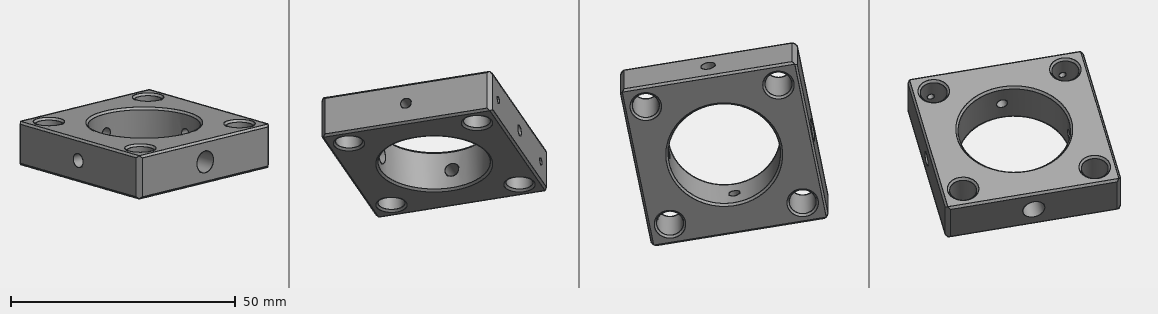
import cadquery as cq

side = 40.0
thickness = 10.0
corner_chamfer = 1.0
edge_chamfer = corner_chamfer / 2

bore_diameter = 25.0
corner_hole_diameter = 6.0
corner_hole_spacing = 30.0

cross_hole_diameter = 2.5
front_hole_diameter = 3.2
wide_hole_diameter = 5.0
lock_hole_diameter = 1.6

half_side = side / 2
corner_offset = corner_hole_spacing / 2


def chamfered_hole(diameter, x, y):
    """Vertical through hole with both rims chamfered."""
    radius = diameter / 2
    half_height = thickness / 2
    rim_radius = radius + edge_chamfer
    straight_half = half_height - edge_chamfer
    profile = (
        cq.Workplane("XZ")
        .moveTo(0, -half_height)
        .lineTo(rim_radius, -half_height)
        .lineTo(radius, -straight_half)
        .lineTo(radius, straight_half)
        .lineTo(rim_radius, half_height)
        .lineTo(0, half_height)
        .close()
    )
    return profile.revolve(360, (0, 0, 0), (0, 1, 0)).translate((x, y, 0))


def drill(diameter, start, direction, depth):
    """Round cutter from a start point along a direction."""
    solid = cq.Solid.makeCylinder(diameter / 2, depth, cq.Vector(*start), cq.Vector(*direction))
    return cq.Workplane(obj=solid)


plate = cq.Workplane("XY").box(side, side, thickness)
plate = plate.faces("<Z or >Z").edges().chamfer(edge_chamfer)
bevelled_prism = cq.Workplane("XY").box(side, side, thickness).edges("|Z").chamfer(corner_chamfer)
plate = plate.intersect(bevelled_prism)

plate = plate.cut(chamfered_hole(bore_diameter, 0, 0))
for x in (-corner_offset, corner_offset):
    for y in (-corner_offset, corner_offset):
        plate = plate.cut(chamfered_hole(corner_hole_diameter, x, y))

wall_holes = (
    (cross_hole_diameter, (-1, 0, 0)),
    (wide_hole_diameter, (1, 0, 0)),
    (front_hole_diameter, (0, -1, 0)),
    (cross_hole_diameter, (0, 1, 0)),
)
for diameter, direction in wall_holes:
    plate = plate.cut(drill(diameter, (0, 0, 0), direction, half_side))

lock_hole_depth = half_side - corner_offset
for y in (-corner_offset, corner_offset):
    plate = plate.cut(drill(lock_hole_diameter, (-half_side, y, 0), (1, 0, 0), lock_hole_depth))

result = plate